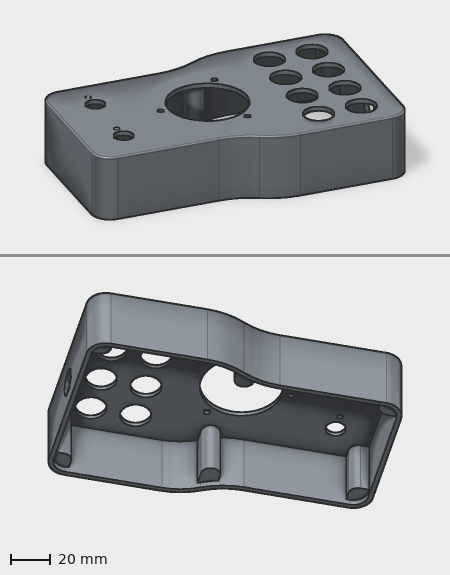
import cadquery as cq
import math

length = 165.0
height = 35.0
head_half_width = 50.0
neck_half_width = 40.0
corner_radius = 10.0
top_edge_round = 1.0
wall = 2.5
top_plate = 2.5

shoulder_head_y = 22.5
shoulder_neck_y = -17.5

key_diameter = 15.8
key_pitch_x = 22.0
key_pitch_y = 23.1
key_columns = 4
key_upper_row_y = 62.5
key_rows = 2

opening_diameter = 42.2
opening_y = -7.5
screw_diameter = 3.3
screw_circle_radius = 25.4
screw_count = 3

knob_diameter = 10.2
knob_x = 19.0
knob_y = -60.5
locator_diameter = 3.0
locator_offset = 9.4
locator_roof = 0.5

boss_radius = 5.0
boss_inset = 7.1
shoulder_boss_x = 36.0
shoulder_boss_y = 0.0
shoulder_boss_reach = 2 * boss_radius
lid_recess = 3.3

cable_diameter = 13.9
cable_z = 16.2


def footprint(inset):
    """Closed outline of the body, moved inwards by inset."""
    half_length = length / 2 - inset
    head_x = head_half_width - inset
    neck_x = neck_half_width - inset
    radius = corner_radius - inset

    run = (shoulder_head_y - shoulder_neck_y) / 2
    rise = (head_half_width - neck_half_width) / 2
    arc_radius = (run**2 + rise**2) / (2 * rise)
    sweep = math.asin(run / arc_radius)
    head_arc_radius = arc_radius - inset
    neck_arc_radius = arc_radius + inset

    def head_arc(angle):
        return (head_x - head_arc_radius * (1 - math.cos(angle)),
                shoulder_head_y - head_arc_radius * math.sin(angle))

    def neck_arc(angle):
        return (neck_x + neck_arc_radius * (1 - math.cos(angle)),
                shoulder_neck_y + neck_arc_radius * math.sin(angle))

    corner_sag = radius * (1 - math.sqrt(0.5))
    half = (
        cq.Workplane("XY")
        .moveTo(0, half_length)
        .lineTo(head_x - radius, half_length)
        .threePointArc((head_x - corner_sag, half_length - corner_sag), (head_x, half_length - radius))
        .lineTo(head_x, shoulder_head_y)
        .threePointArc(head_arc(sweep / 2), head_arc(sweep))
        .threePointArc(neck_arc(sweep / 2), neck_arc(0))
        .lineTo(neck_x, radius - half_length)
        .threePointArc((neck_x - corner_sag, corner_sag - half_length), (neck_x - radius, -half_length))
        .lineTo(0, -half_length)
    )
    return half.mirrorY()


def wall_boss(x, y, reach_x, reach_y):
    """Round boss at (x, y) with flat-sided webs reaching out to the walls along X and Y."""
    boss_height = height - lid_recess - top_plate / 2
    width = 2 * boss_radius
    base = cq.Workplane("XY", origin=(x, y, lid_recess))
    boss = base.circle(boss_radius).extrude(boss_height)
    boss = boss.union(base.center(reach_x / 2, 0).rect(abs(reach_x), width).extrude(boss_height))
    if reach_y:
        boss = boss.union(base.center(0, reach_y / 2).rect(width, abs(reach_y)).extrude(boss_height))
    return boss


def cut_holes(body, points, diameter):
    """Drill through the top plate at the given points."""
    drills = cq.Workplane("XY").pushPoints(points).circle(diameter / 2).extrude(height)
    return body.cut(drills)


outer = footprint(0).extrude(height).faces(">Z").edges().fillet(top_edge_round)
body = outer.cut(footprint(wall).extrude(height - top_plate))

boss_y = length / 2 - boss_inset
bosses = (
    wall_boss(head_half_width - boss_inset, boss_y, boss_inset, boss_inset)
    .union(wall_boss(shoulder_boss_x, shoulder_boss_y, shoulder_boss_reach, 0))
    .union(wall_boss(neck_half_width - boss_inset, -boss_y, boss_inset, -boss_inset))
)
bosses = bosses.union(bosses.mirror("YZ"))
body = body.union(bosses.intersect(outer))

cable_drill = (
    cq.Workplane("XZ", origin=(0, length / 2, cable_z))
    .circle(cable_diameter / 2)
    .extrude(2 * wall)
)
body = body.cut(cable_drill)

key_points = [
    ((column - (key_columns - 1) / 2) * key_pitch_x, key_upper_row_y - row * key_pitch_y)
    for column in range(key_columns)
    for row in range(key_rows)
]
body = cut_holes(body, key_points, key_diameter)

body = cut_holes(body, [(0, opening_y)], opening_diameter)
screw_angles = [-math.pi / 2 + 2 * math.pi * i / screw_count for i in range(screw_count)]
screw_points = [
    (screw_circle_radius * math.cos(angle), opening_y + screw_circle_radius * math.sin(angle))
    for angle in screw_angles
]
body = cut_holes(body, screw_points, screw_diameter)

knob_points = [(-knob_x, knob_y), (knob_x, knob_y)]
body = cut_holes(body, knob_points, knob_diameter)

locator_points = [(x - locator_offset, y) for x, y in knob_points]
locators = (
    cq.Workplane("XY")
    .pushPoints(locator_points)
    .circle(locator_diameter / 2)
    .extrude(height - locator_roof)
)
result = body.cut(locators)